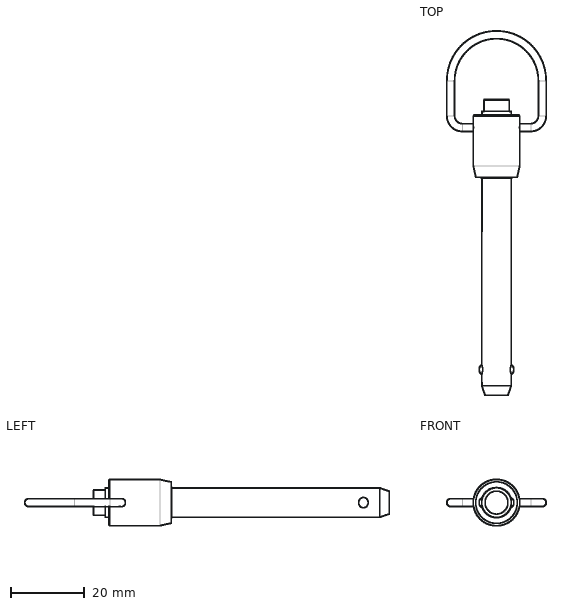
import cadquery as cq
import math

total_length = 99.0

shank_diameter = 8.0
shank_length = 59.2
tip_length = 2.6
tip_diameter = 6.2

ball_radius = 1.5
ball_span = 9.5
ball_from_tip = 7.0

body_diameter = 12.7
body_length = 17.0
taper_length = 3.2
taper_end_diameter = 11.3
body_edge_chamfer = 0.4
neck_diameter = 8.2
neck_length = 0.2

collar_length = 0.9
button_diameter = 6.9
button_length = 3.3
button_chamfer = 0.2

wire_diameter = 2.2
ring_width = 27.0
ring_leg_length = 9.6
corner_radius = 3.2

shank_radius = shank_diameter / 2
tip_y = -shank_length
ring_radius = (ring_width - wire_diameter) / 2
ring_top_y = total_length - shank_length - wire_diameter / 2
arch_centre_y = ring_top_y - ring_radius
leg_end_y = arch_centre_y - ring_leg_length
crossbar_y = leg_end_y - corner_radius


def cylinder(diameter, start_y, length):
    """Round bar along +Y from start_y."""
    plane = cq.Workplane(cq.Plane(origin=(0, start_y, 0), xDir=(1, 0, 0), normal=(0, 1, 0)))
    return plane.circle(diameter / 2).extrude(length)


def make_shank():
    """Straight pin with a conical tip."""
    return (
        cq.Workplane("XY")
        .moveTo(0, tip_y)
        .lineTo(tip_diameter / 2, tip_y)
        .lineTo(shank_radius, tip_y + tip_length)
        .lineTo(shank_radius, 0)
        .lineTo(0, 0)
        .close()
        .revolve(360, (0, 0, 0), (0, 1, 0))
    )


def make_body():
    """Handle body, tapered toward the shank and chamfered at the button end."""
    return (
        cq.Workplane("XY")
        .lineTo(taper_end_diameter / 2, 0)
        .lineTo(body_diameter / 2, taper_length)
        .lineTo(body_diameter / 2, body_length)
        .lineTo(0, body_length)
        .close()
        .revolve(360, (0, 0, 0), (0, 1, 0))
        .faces(">Y")
        .chamfer(body_edge_chamfer)
    )


def make_button():
    """Push button standing on a low collar."""
    collar = cylinder(shank_diameter, body_length, collar_length)
    button = cylinder(button_diameter, body_length + collar_length, button_length)
    return collar.union(button.faces(">Y").chamfer(button_chamfer))


def make_ring():
    """D-shaped wire handle whose crossbar runs through the body."""
    bend_x = ring_radius - corner_radius
    bend_offset = corner_radius * math.sqrt(0.5)
    bend_mid_x = bend_x + bend_offset
    bend_mid_y = leg_end_y - bend_offset
    path = (
        cq.Workplane("XY")
        .moveTo(0, crossbar_y)
        .lineTo(bend_x, crossbar_y)
        .threePointArc((bend_mid_x, bend_mid_y), (ring_radius, leg_end_y))
        .lineTo(ring_radius, arch_centre_y)
        .threePointArc((0, ring_top_y), (-ring_radius, arch_centre_y))
        .lineTo(-ring_radius, leg_end_y)
        .threePointArc((-bend_mid_x, bend_mid_y), (-bend_x, crossbar_y))
        .lineTo(0, crossbar_y)
    )
    section = cq.Workplane("YZ").center(crossbar_y, 0).circle(wire_diameter / 2)
    return section.sweep(path)


def make_ball(side):
    """Locking ball partly sunk in the shank; side is +1 or -1 along X."""
    centre_x = side * (ball_span / 2 - ball_radius)
    return cq.Workplane("XY").sphere(ball_radius).translate((centre_x, tip_y + ball_from_tip, 0))


neck = cylinder(neck_diameter, -neck_length, neck_length)
result = make_shank().union(neck).union(make_body()).union(make_button()).union(make_ring())
for ball_side in (-1, 1):
    result = result.union(make_ball(ball_side))